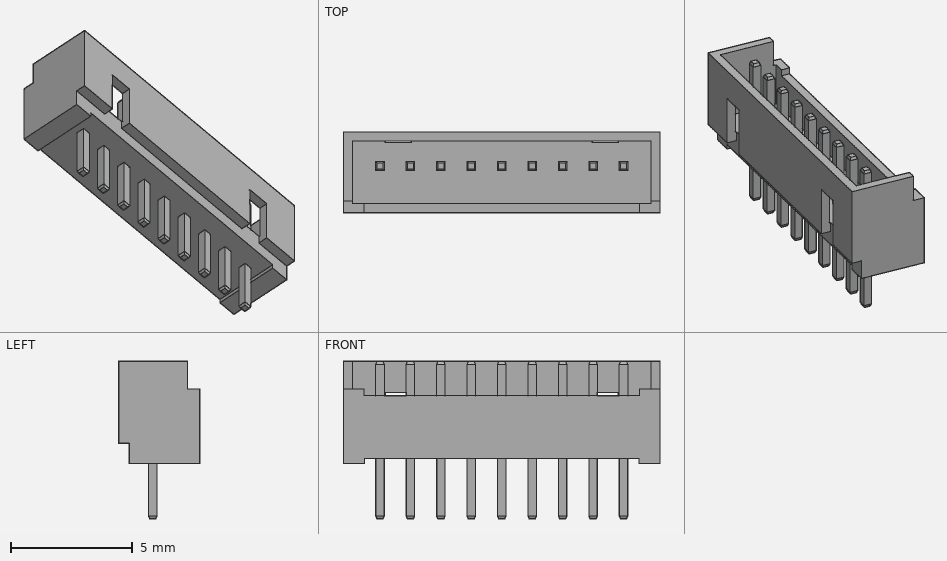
import cadquery as cq

LENGTH = 13.0
DEPTH = 3.33
OVERALL_HEIGHT = 6.48
HEIGHT = 4.21
FRONT_Y = -DEPTH / 2
BACK_Y = DEPTH / 2

END_WALL = 0.37
LONG_WALL = 0.38
FLOOR_Z = 1.24

FRONT_STEP_DEPTH = 0.5
FRONT_CORNER_Z = HEIGHT - 1.14
FRONT_RIM_Z = HEIGHT - 1.42
FRONT_CORNER_LENGTH = 0.84

BACK_STEP_DEPTH = 0.43
BACK_STEP_Z = 0.83

FOOT_LENGTH = 0.87
FOOT_HEIGHT = 0.2

WINDOW_WIDTH = 1.05
WINDOW_OFFSET = 4.25
WINDOW_TOP_Z = HEIGHT - 1.3

PIN_COUNT = 9
PIN_PITCH = 1.25
PIN_SIZE = 0.355
PIN_Y = BACK_Y - 1.4
PIN_TOP_Z = HEIGHT - 0.03
PIN_BOTTOM_Z = HEIGHT - OVERALL_HEIGHT
TIP_HEIGHT = 0.12
TIP_INSET = 0.05


def block(x_range, y_range, z_range):
    """Axis-aligned box spanning the given (low, high) ranges."""
    ranges = (x_range, y_range, z_range)
    sizes = [high - low for low, high in ranges]
    corner = tuple(low for low, _ in ranges)
    return cq.Workplane("XY").box(*sizes, centered=False).translate(corner)


def centred(length, middle=0.0):
    """Range of the given length about a middle value."""
    return (middle - length / 2, middle + length / 2)


def make_shell():
    """Outer body with its mating cavity."""
    body = block(centred(LENGTH), centred(DEPTH), (0, HEIGHT))
    cavity = block(
        centred(LENGTH - 2 * END_WALL),
        centred(DEPTH - 2 * LONG_WALL),
        (FLOOR_Z, HEIGHT),
    )
    return body.cut(cavity)


def cut_front(body):
    """Lower the front, leaving a raised corner at each end of the rim."""
    step = block(
        centred(LENGTH),
        (FRONT_Y, FRONT_Y + FRONT_STEP_DEPTH),
        (FRONT_CORNER_Z, HEIGHT),
    )
    rim = block(
        centred(LENGTH - 2 * FRONT_CORNER_LENGTH),
        (FRONT_Y, FRONT_Y + LONG_WALL),
        (FRONT_RIM_Z, HEIGHT),
    )
    return body.cut(step).cut(rim)


def cut_underside(body):
    """Undercut the back edge and relieve the underside between the feet."""
    undercut = block(
        centred(LENGTH),
        (BACK_Y - BACK_STEP_DEPTH, BACK_Y),
        (0, BACK_STEP_Z),
    )
    relief = block(
        centred(LENGTH - 2 * FOOT_LENGTH),
        centred(DEPTH),
        (0, FOOT_HEIGHT),
    )
    return body.cut(undercut).cut(relief)


def cut_windows(body):
    """Cut a window through the back wall near each end, as deep as the undercut."""
    for side in (-1, 1):
        window = block(
            centred(WINDOW_WIDTH, side * WINDOW_OFFSET),
            (BACK_Y - BACK_STEP_DEPTH, BACK_Y),
            (BACK_STEP_Z, WINDOW_TOP_Z),
        )
        body = body.cut(window)
    return body


def make_pin(x):
    """Square pin through the floor with both tips bevelled."""
    pin = block(
        centred(PIN_SIZE, x),
        centred(PIN_SIZE, PIN_Y),
        (PIN_BOTTOM_Z, PIN_TOP_Z),
    )
    return pin.faces("<Z or >Z").chamfer(TIP_HEIGHT, TIP_INSET)


def add_pins(body):
    """Set the row of pins, centred along the housing."""
    for index in range(PIN_COUNT):
        x = (index - (PIN_COUNT - 1) / 2) * PIN_PITCH
        body = body.union(make_pin(x))
    return body


housing = cut_windows(cut_underside(cut_front(make_shell())))
result = add_pins(housing)